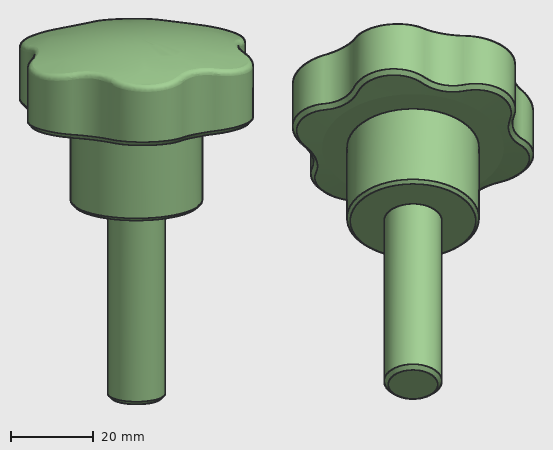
import cadquery as cq
import math

stud_length = 49.0
hub_height = 21.9
head_height = 20.1

stud_diameter = 14.0
stud_chamfer = 1.0
hub_diameter = 32.0
hub_chamfer = 0.8

lobe_count = 6
head_diameter = 60.0
lobe_radius = 10.5
valley_radius = 10.5
crown_radius = 110.0
base_flat_radius = 22.0
rim_clearance = 1.0
base_edge_rise = 1.3
top_edge_fillet = 1.5
bottom_edge_chamfer = 1.0

lobe_center_radius = head_diameter / 2 - lobe_radius
lobe_pitch = 360.0 / lobe_count
half_pitch = math.radians(lobe_pitch / 2)
center_spacing = lobe_radius + valley_radius
lobe_offset = lobe_center_radius * math.sin(half_pitch)
valley_center_radius = lobe_center_radius * math.cos(half_pitch) + math.sqrt(
    center_spacing**2 - lobe_offset**2
)
first_lobe_angle = 90.0
head_bottom = hub_height
head_top = head_bottom + head_height


def polar(radius, degrees):
    """Point in the XY plane at a radius and an angle."""
    angle = math.radians(degrees)
    return (radius * math.cos(angle), radius * math.sin(angle))


def tangent_point(lobe_angle, valley_angle):
    """Point where a lobe arc runs smoothly into the neighbouring valley arc."""
    lobe_x, lobe_y = polar(lobe_center_radius, lobe_angle)
    valley_x, valley_y = polar(valley_center_radius, valley_angle)
    share = lobe_radius / center_spacing
    return (lobe_x + share * (valley_x - lobe_x), lobe_y + share * (valley_y - lobe_y))


def lobed_prism():
    """Upright prism with alternating convex lobes and concave valleys."""
    half_step = lobe_pitch / 2
    outline = cq.Workplane("XY").workplane(offset=head_bottom)
    outline = outline.moveTo(*tangent_point(first_lobe_angle, first_lobe_angle - half_step))
    for index in range(lobe_count):
        lobe_angle = first_lobe_angle + index * lobe_pitch
        valley_angle = lobe_angle + half_step
        lobe_tip = polar(head_diameter / 2, lobe_angle)
        valley_bottom = polar(valley_center_radius - valley_radius, valley_angle)
        outline = outline.threePointArc(lobe_tip, tangent_point(lobe_angle, valley_angle))
        next_start = tangent_point(lobe_angle + lobe_pitch, valley_angle)
        outline = outline.threePointArc(valley_bottom, next_start)
    return outline.close().extrude(head_height)


def crown_height(radius):
    """Height of the spherical crown at a distance from the axis."""
    return head_top - crown_radius + math.sqrt(crown_radius**2 - radius**2)


def head_envelope():
    """Turned body with a domed crown and an underside that rises towards the rim."""
    rim_radius = head_diameter / 2 + rim_clearance
    mid_radius = rim_radius / 2
    profile = (
        cq.Workplane("XZ")
        .moveTo(0, head_bottom)
        .lineTo(base_flat_radius, head_bottom)
        .lineTo(rim_radius, head_bottom + base_edge_rise)
        .lineTo(rim_radius, crown_height(rim_radius))
        .threePointArc((mid_radius, crown_height(mid_radius)), (0, head_top))
        .close()
    )
    return profile.revolve(360, (0, 0, 0), (0, 1, 0))


def lobed_head():
    """Lobed prism trimmed by the turned body, rounded above and chamfered below."""
    head = lobed_prism().intersect(head_envelope())
    head = head.faces(">Z").edges().fillet(top_edge_fillet)
    underside_rim = head.faces("%CONE").edges("not(<Z)")
    return underside_rim.chamfer(bottom_edge_chamfer)


def hub():
    body = cq.Workplane("XY").circle(hub_diameter / 2).extrude(hub_height)
    return body.faces("<Z").edges().chamfer(hub_chamfer)


def stud():
    body = cq.Workplane("XY").circle(stud_diameter / 2).extrude(-stud_length)
    return body.faces("<Z").edges().chamfer(stud_chamfer)


result = lobed_head().union(hub()).union(stud())